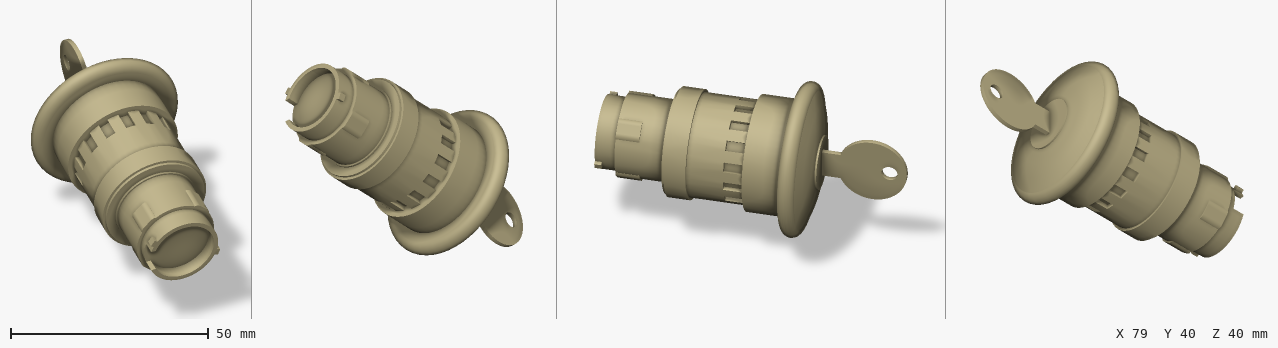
import cadquery as cq
import math

total_length = 78.95

key_bow_radius = 9.0
key_thickness = 1.2
key_shank_height = 7.4
key_hole_x = 4.5
key_hole_radius = 2.05

lock_face_x = 22.0
lock_face_radius = 7.0
dome_front_x = 22.5
dome_mid_x = 23.7
dome_mid_radius = 13.4
rim_x = 27.5
rim_outer_diameter = 40.0
rim_outer_radius = rim_outer_diameter / 2
rim_round = 2.2
rim_center_radius = rim_outer_radius - rim_round
dome_edge_radius = 18.0
dome_edge_x = rim_x - math.sqrt(rim_round**2 - (dome_edge_radius - rim_center_radius) ** 2)
head_back_x = rim_x + rim_round

collar_end_x = 39.55
collar_radius = 15.1
body_radius = 13.5
ring_start_x = 54.3
ring_end_x = 60.0
ring_radius = 14.2
body_end_x = 60.7
shoulder_end_x = 61.3
shoulder_radius = 11.05
barrel_end_x = 73.6
barrel_radius = 10.6
tail_radius = 9.5

notch_count = 15
notch_first_angle = 90.0
notch_length = 5.2
notch_width = 2.6
notch_depth = 1.3

rib_count = 4
rib_first_angle = 45.0
rib_length = 6.15
rib_crest_height = 11.0
rib_crest_half_width = 1.35
rib_flank_round = 1.65
rib_flank_angle = math.radians(55.0)
rib_root_height = 8.7

tail_recess_depth = 3.3
tail_bore_radius = 8.3
slot_width = 6.4
slot_angle = 180.0
pin_length = 1.8
pin_width = 1.8
pin_tip_radius = 10.4
pin_root_radius = 8.85
pin_angles = (144.5, -21.5)


def cylinder(start_x, end_x, radius):
    """Solid cylinder about the switch axis."""
    end_plane = cq.Plane(origin=(start_x, 0, 0), xDir=(0, 0, 1), normal=(1, 0, 0))
    return cq.Workplane(end_plane).circle(radius).extrude(end_x - start_x)


def turned(shape, angle):
    """Turn a shape about the switch axis; 0 degrees is +Y and 90 degrees is +Z."""
    return shape.rotate((0, 0, 0), (1, 0, 0), angle)


def radial_block(start_x, length, inner, outer, width):
    """Block that points along +Y, from the inner to the outer distance off the axis."""
    block = cq.Workplane("XY").box(length, outer - inner, width, centered=(False, False, True))
    return block.translate((start_x, inner, 0))


def make_key():
    plane = cq.Workplane("XZ")
    bow = plane.center(key_bow_radius, 0).circle(key_bow_radius).extrude(key_thickness / 2, both=True)
    shank_length = dome_front_x - key_bow_radius
    shank = cq.Workplane("XY").box(shank_length, key_thickness, key_shank_height)
    shank = shank.translate((key_bow_radius + shank_length / 2, 0, 0))
    hole = plane.center(key_hole_x, 0).circle(key_hole_radius).extrude(key_thickness, both=True)
    return bow.union(shank).cut(hole)


def make_head():
    profile = (
        cq.Workplane("XZ")
        .moveTo(lock_face_x, 0)
        .lineTo(lock_face_x, lock_face_radius)
        .lineTo(dome_front_x, lock_face_radius)
        .threePointArc((dome_mid_x, dome_mid_radius), (dome_edge_x, dome_edge_radius))
        .threePointArc((rim_x, rim_outer_radius), (head_back_x, rim_center_radius))
        .lineTo(head_back_x, 0)
        .close()
    )
    return profile.revolve(360, (0, 0, 0), (1, 0, 0))


def make_housing():
    return (
        cylinder(head_back_x, collar_end_x, collar_radius)
        .union(cylinder(collar_end_x, body_end_x, body_radius))
        .union(cylinder(ring_start_x, ring_end_x, ring_radius))
        .union(cylinder(body_end_x, shoulder_end_x, shoulder_radius))
        .union(cylinder(shoulder_end_x, barrel_end_x, barrel_radius))
        .union(cylinder(barrel_end_x, total_length, tail_radius))
    )


def make_rib():
    """Rib pointing along +Y, with convex flanks that are tangent to its crest."""

    def flank_point(angle, side):
        out = rib_crest_height - rib_flank_round * (1 - math.cos(angle))
        across = rib_crest_half_width + rib_flank_round * math.sin(angle)
        return (out, side * across)

    root_half_width = flank_point(rib_flank_angle, 1)[1]
    return (
        cq.Workplane("YZ")
        .workplane(offset=barrel_end_x - rib_length)
        .moveTo(rib_root_height, -root_half_width)
        .lineTo(*flank_point(rib_flank_angle, -1))
        .threePointArc(flank_point(rib_flank_angle / 2, -1), flank_point(0, -1))
        .lineTo(*flank_point(0, 1))
        .threePointArc(flank_point(rib_flank_angle / 2, 1), flank_point(rib_flank_angle, 1))
        .lineTo(rib_root_height, root_half_width)
        .close()
        .extrude(rib_length)
    )


switch = make_housing().union(make_head()).union(make_key())

notch = radial_block(collar_end_x, notch_length, body_radius - notch_depth, ring_radius, notch_width)
for i in range(notch_count):
    switch = switch.cut(turned(notch, notch_first_angle + i * 360 / notch_count))

rib = make_rib()
for i in range(rib_count):
    switch = switch.union(turned(rib, rib_first_angle + i * 360 / rib_count))

recess_start_x = total_length - tail_recess_depth
switch = switch.cut(cylinder(recess_start_x, total_length, tail_bore_radius))
slot = radial_block(recess_start_x, tail_recess_depth, 0, barrel_radius, slot_width)
switch = switch.cut(turned(slot, slot_angle))

pin = radial_block(total_length - pin_length, pin_length, pin_root_radius, pin_tip_radius, pin_width)
for angle in pin_angles:
    switch = switch.union(turned(pin, angle))

result = switch